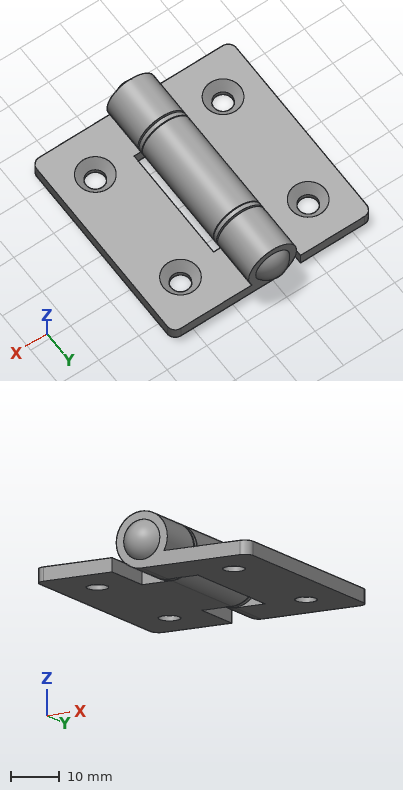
import cadquery as cq

total_length = 55.0
hinge_size = 50.0
leaf_thickness = 3.0
corner_radius = 2.0
knuckle_radius = 6.0
axis_height = knuckle_radius
leaf_clearance = 7.0

half_size = hinge_size / 2
middle_knuckle_end = 12.5
inner_gap = 0.15
washer_thickness = 1.0
outer_gap = 0.4
washer_start = middle_knuckle_end + inner_gap
outer_knuckle_start = washer_start + washer_thickness + outer_gap

shaft_radius = 3.0
head_radius = 4.25
head_height = (total_length - hinge_size) / 2
head_sphere_radius = (head_radius**2 + head_height**2) / (2 * head_height)

hole_x = 16.0
hole_y = 15.0
hole_diameter = 4.6
countersink_diameter = 8.5
countersink_angle = 90


def axial_cylinder(radius, y_start, y_end):
    """Cylinder around the hinge axis between two Y positions."""
    return (
        cq.Workplane("XZ", origin=(0, y_start, axis_height))
        .circle(radius)
        .extrude(y_start - y_end)
    )


def make_leaf(side, knuckle_spans):
    """One leaf; side is -1 for left and +1 for right."""
    plate_width = half_size - leaf_clearance
    leaf = (
        cq.Workplane("XY")
        .box(plate_width, hinge_size, leaf_thickness, centered=(True, True, False))
        .translate((side * (leaf_clearance + plate_width / 2), 0, 0))
        .edges("|Z and " + (">X" if side > 0 else "<X"))
        .fillet(corner_radius)
    )
    for y_start, y_end in knuckle_spans:
        web = (
            cq.Workplane("XY")
            .box(leaf_clearance, y_end - y_start, leaf_thickness, centered=(True, True, False))
            .translate((side * leaf_clearance / 2, (y_start + y_end) / 2, 0))
        )
        leaf = leaf.union(web).union(axial_cylinder(knuckle_radius, y_start, y_end))

    leaf = leaf.cut(axial_cylinder(shaft_radius, -half_size, half_size))
    return (
        leaf.copyWorkplane(cq.Workplane("XY", origin=(0, 0, leaf_thickness)))
        .pushPoints([(side * hole_x, -hole_y), (side * hole_x, hole_y)])
        .cskHole(hole_diameter, countersink_diameter, countersink_angle)
    )


def make_washer(y_start):
    """Plain ring between neighbouring knuckles."""
    y_end = y_start + washer_thickness
    bore = axial_cylinder(shaft_radius, y_start, y_end)
    return axial_cylinder(knuckle_radius, y_start, y_end).cut(bore)


def make_pin():
    """Shaft with a spherical dome head against each end of the hinge."""
    pin = axial_cylinder(shaft_radius, -half_size, half_size)
    for end in (-1, 1):
        sphere_centre = end * (total_length / 2 - head_sphere_radius)
        ball = cq.Workplane("XY").sphere(head_sphere_radius).translate((0, sphere_centre, axis_height))
        beyond_hinge = axial_cylinder(head_radius, end * half_size, end * total_length / 2)
        pin = pin.union(ball.intersect(beyond_hinge))
    return pin


left_leaf = make_leaf(-1, [(-middle_knuckle_end, middle_knuckle_end)])
right_leaf = make_leaf(1, [(-half_size, -outer_knuckle_start), (outer_knuckle_start, half_size)])
pin = make_pin()
washers = [make_washer(y) for y in (-washer_start - washer_thickness, washer_start)]

result = cq.Compound.makeCompound(
    [left_leaf.val(), right_leaf.val(), pin.val(), *[washer.val() for washer in washers]]
)